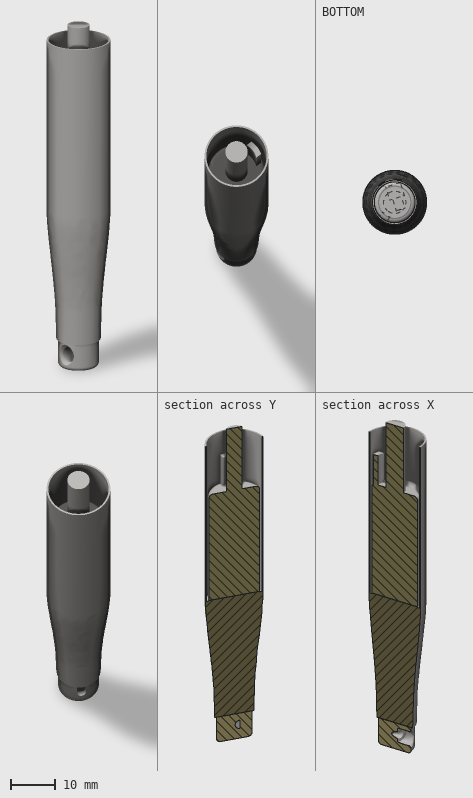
import cadquery as cq
import math

total_height = 80.45
tube_top = 76.9
grip_top = 36.9
cap_height = 6.4

tube_diameter = 14.3
tube_bore = 13.5

plug_diameter = 12.7
plug_top = 64.4
plug_edge_radius = 1.05
rod_diameter = 5.0
lug_inner_diameter = 9.2
lug_outer_diameter = 11.75
lug_width = 3.6
lug_top = 71.6

grip_end_diameter = 10.0
grip_shoulder_height = 32.2
grip_shoulder_radius = 6.9
grip_waist_height = 17.7
grip_waist_radius = 5.5

cap_diameter = 9.2
cap_edge_radius = 1.0
hole_height = 3.6
hole_entry_x = -0.6
hole_tilt = 17.0
hole_diameter = 3.45
hole_depth = 3.7
hole_chamfer = 0.65
pilot_diameter = 2.0
pilot_depth = 6.4
slot_width = 2.0
slot_depth = 1.2
slot_angle = 125.0


def make_tube():
    """Thin open tube standing on the rim of the grip."""
    return (
        cq.Workplane("XY", origin=(0, 0, grip_top))
        .circle(tube_diameter / 2)
        .circle(tube_bore / 2)
        .extrude(tube_top - grip_top)
    )


def make_lug():
    """Upright ring segment on the +Y side of the plug."""
    lug_height = lug_top - grip_top
    ring = (
        cq.Workplane("XY", origin=(0, 0, grip_top))
        .circle(lug_outer_diameter / 2)
        .circle(lug_inner_diameter / 2)
        .extrude(lug_height)
    )
    band = (
        cq.Workplane("XY", origin=(0, lug_outer_diameter / 2, grip_top))
        .rect(lug_width, lug_outer_diameter)
        .extrude(lug_height)
    )
    return ring.intersect(band)


def make_core():
    """Round-edged plug standing on the grip, with the rod and the lug rising out of it."""
    plug = (
        cq.Workplane("XY", origin=(0, 0, grip_top))
        .circle(plug_diameter / 2)
        .extrude(plug_top - grip_top)
        .faces(">Z")
        .edges()
        .fillet(plug_edge_radius)
    )
    rod = (
        cq.Workplane("XY", origin=(0, 0, grip_top))
        .circle(rod_diameter / 2)
        .extrude(total_height - grip_top)
    )
    return plug.union(rod).union(make_lug())


def make_grip():
    """Solid of revolution that narrows in a smooth S from the tube to the cap."""
    end_radius = grip_end_diameter / 2
    return (
        cq.Workplane("XZ")
        .moveTo(0, cap_height)
        .lineTo(end_radius, cap_height)
        .spline(
            [
                (grip_waist_radius, grip_waist_height),
                (grip_shoulder_radius, grip_shoulder_height),
                (tube_diameter / 2, grip_top),
            ],
            tangents=[(0, 1), (0, 1)],
            includeCurrent=True,
        )
        .lineTo(0, grip_top)
        .close()
        .revolve(360, (0, 0, 0), (0, 1, 0))
    )


def make_cord_hole():
    """Tilted stepped hole with a widened mouth, entering the -Y side of the cap."""
    tilt = math.radians(hole_tilt)
    inward = cq.Vector(math.sin(tilt), math.cos(tilt), 0)
    entry_y = -math.sqrt((cap_diameter / 2) ** 2 - hole_entry_x ** 2)
    entry = cq.Vector(hole_entry_x, entry_y, hole_height)
    hole_radius = hole_diameter / 2
    outside_start = entry - inward * hole_diameter
    wide = cq.Solid.makeCylinder(hole_radius, hole_diameter + hole_depth, outside_start, inward)
    pilot = cq.Solid.makeCylinder(pilot_diameter / 2, pilot_depth, entry, inward)
    mouth_length = 2 * hole_chamfer
    mouth_start = entry - inward * hole_chamfer
    mouth = cq.Solid.makeCone(hole_radius + mouth_length, hole_radius, mouth_length, mouth_start, inward)
    return cq.Workplane(wide).union(cq.Workplane(pilot)).union(cq.Workplane(mouth))


def make_side_slot():
    """Radial slot with a round bottom, open at the top of the cap."""
    cap_radius = cap_diameter / 2
    floor_radius = cap_radius - slot_depth
    round_end = (
        cq.Workplane("YZ", origin=(floor_radius, 0, hole_height)).circle(slot_width / 2).extrude(cap_radius)
    )
    straight = (
        cq.Workplane("XY", origin=(floor_radius, 0, hole_height))
        .rect(2 * cap_radius, slot_width)
        .extrude(cap_height)
        .intersect(
            cq.Workplane("YZ", origin=(floor_radius, 0, 0)).rect(slot_width, 4 * cap_height).extrude(cap_radius)
        )
    )
    slot = round_end.union(straight)
    return slot.rotate((0, 0, 0), (0, 0, 1), slot_angle)


def make_cap():
    """Round-bottomed end cap with its cord hole and side slot."""
    cap = (
        cq.Workplane("XY")
        .circle(cap_diameter / 2)
        .extrude(cap_height)
        .faces("<Z")
        .edges()
        .fillet(cap_edge_radius)
    )
    return cap.cut(make_cord_hole()).cut(make_side_slot())


tube = make_tube()
core = make_core()
grip = make_grip()
cap = make_cap()

result = cq.Compound.makeCompound([tube.val(), core.val(), grip.val(), cap.val()])